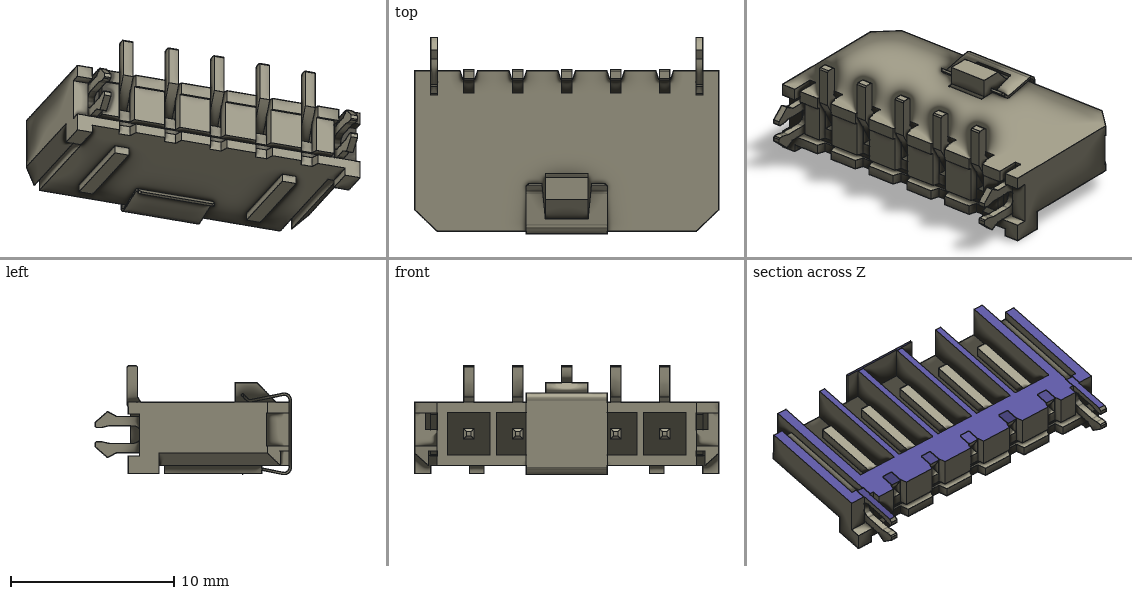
import cadquery as cq
import math


LENGTH = 18.65
DEPTH = 9.87
HEIGHT = 3.9
HALF_LENGTH = LENGTH / 2
MID_Z = HEIGHT / 2

CONTACT_COUNT = 5
PITCH = 3.0
CONTACT_X = [(i - (CONTACT_COUNT - 1) / 2) * PITCH for i in range(CONTACT_COUNT)]
SOCKET_SIDE = 2.6
SOCKET_DEPTH = 7.46

PIN_SIDE = 0.65
PIN_TIP_Y = 2.24
PIN_TIP_TAPER = 0.19
PIN_REAR_Y = 9.94
PIN_TOP_Z = 6.14
PIN_TOP_CHAMFER = 0.1
PIN_SLOPE = 1.72
PIN_REAR_BEND_Z = 3.73
PIN_FRONT_BEND_Z = 4.21
PIN_CHANNEL_FRONT_Y = 8.5
NOTCH_FRONT_Y = 9.32
NOTCH_REAR_WIDTH = 1.08
NOTCH_FRONT_WIDTH = 0.73

CORNER_X = 1.38
CORNER_Y = 1.32
POCKET_DEPTH = 1.38
POCKET_BOTTOM_Z = 1.2
POCKET_TOP_Z = 3.23
WINDOW_WIDTH = 0.73
WINDOW_BOTTOM_Z = 2.2
UNDERCUT_WIDTH = 0.55
UNDERCUT_HEIGHT = 0.9
LOWER_WINDOW_BOTTOM_Z = 0.62

STANDOFF = 0.48
FOOT_WIDTH = 0.99
FOOT_FRONT_Y = 7.96
BEVEL_WIDTH = 0.84
BEVEL_HEIGHT = 0.76
RIB_X = 5.52
RIB_WIDTH = 0.91
RIB_FRONT_Y = 1.66
RIB_REAR_Y = 7.65

GROOVE_FRONT_Y = 9.18
GROOVE_BOTTOM_Z = 0.6
GROOVE_TOP_Z = 3.15
REAR_WALL_Y = 9.74
REAR_WALL_BOTTOM_Z = 0.93
REAR_WALL_HALF_WIDTH = 7.65

LATCH_WIDTH = 2.6
LATCH_FOOT_Y = 0.8
LATCH_CREST_Y = 1.95
LATCH_REAR_Y = 3.3
LATCH_TOP_Z = 5.1
LATCH_RELIEF = 0.26
LATCH_TOE = 0.05

LOCK_X = 8.13
LOCK_THICKNESS = 0.43
LOCK_SLOT_FRONT_Y = 8.37
LOCK_FRONT_Y = 8.47
LOCK_REAR_Y = 11.9
LOCK_MID_Z = 1.9
LOCK_HALF_HEIGHT = 1.12
LOCK_GAP_RADIUS = 0.55
LOCK_GAP_CENTER_Y = 9.59
BARB_HEIGHT = 0.11
BARB_CREST_Y = 8.9
BARB_FOOT_Y = 9.0
HOOK_FOOT_Y = 10.57
HOOK_CREST_Y = 11.13
HOOK_CREST_HALF = 1.42
HOOK_TIP_OUTER_HALF = 0.75
HOOK_TIP_INNER_HALF = 0.43
HOOK_LIP_REAR_Y = 11.82
HOOK_LIP_FRONT_Y = 11.49
HOOK_INNER_FOOT_Y = 11.0

CLIP_WIDTH = 5.0
CLIP_THICKNESS = 0.15
CLIP_BEND_OUTER = 0.45
CLIP_BEND_Z = 4.01
CLIP_ARM_ANGLE = 11.5
CLIP_VALLEY_OUTER = 0.34
CLIP_KICK_ANGLE = 45.0
CLIP_KICK_LENGTH = 0.47
CLIP_CORNER_CHAMFER = 0.17
CLIP_SLOT_FRONT_Y = 0.75
CLIP_SLOT_FRONT_WIDTH = 2.63
CLIP_SLOT_REAR_WIDTH = 3.11

THROUGH = 3 * HEIGHT


def box(x0, x1, y0, y1, z0, z1):
    return cq.Workplane("XY").box(x1 - x0, y1 - y0, z1 - z0, centered=False).translate((x0, y0, z0))


def side_plate(points, width, x_center=0.0):
    """Plate of the given width along X, from an outline of (Y, Z) points."""
    plate = cq.Workplane("YZ").polyline(points).close().extrude(width / 2, both=True)
    return plate.translate((x_center, 0, 0))


def with_mirror(right):
    """A shape at +X together with its mirror image at -X."""
    return right.union(right.mirror("YZ"))



def pin_blank(x):
    """Bent bar before its tip and top are shaped; also the hole it fills in the housing."""
    bottom = MID_Z - PIN_SIDE / 2
    top = MID_Z + PIN_SIDE / 2
    front = PIN_REAR_Y - PIN_SIDE
    outline = [
        (PIN_TIP_Y, bottom),
        (PIN_REAR_Y - (PIN_REAR_BEND_Z - bottom) / PIN_SLOPE, bottom),
        (PIN_REAR_Y, PIN_REAR_BEND_Z),
        (PIN_REAR_Y, PIN_TOP_Z),
        (front, PIN_TOP_Z),
        (front, PIN_FRONT_BEND_Z),
        (front - (PIN_FRONT_BEND_Z - top) / PIN_SLOPE, top),
        (PIN_TIP_Y, top),
    ]
    return side_plate(outline, PIN_SIDE, x)


def make_pin(x):
    pin = pin_blank(x)
    pin = pin.faces("<Y").chamfer(PIN_TIP_TAPER)
    return pin.faces(">Z").edges("|X").chamfer(PIN_TOP_CHAMFER)



def make_lock(x):
    """Fork with barbs at its root and a hook on the end of each prong."""
    upper = [
        (LOCK_GAP_CENTER_Y, LOCK_GAP_RADIUS),
        (HOOK_INNER_FOOT_Y, LOCK_GAP_RADIUS),
        (HOOK_LIP_FRONT_Y, HOOK_TIP_INNER_HALF),
        (HOOK_LIP_REAR_Y, HOOK_TIP_INNER_HALF),
        (LOCK_REAR_Y, HOOK_TIP_INNER_HALF + LOCK_REAR_Y - HOOK_LIP_REAR_Y),
        (LOCK_REAR_Y, HOOK_TIP_OUTER_HALF),
        (HOOK_CREST_Y, HOOK_CREST_HALF),
        (HOOK_FOOT_Y, LOCK_HALF_HEIGHT),
        (BARB_FOOT_Y, LOCK_HALF_HEIGHT),
        (BARB_CREST_Y, LOCK_HALF_HEIGHT + BARB_HEIGHT),
        (LOCK_FRONT_Y, LOCK_HALF_HEIGHT + BARB_HEIGHT),
    ]
    lower = [(y, -z) for y, z in reversed(upper)]
    gap_bottom = (LOCK_GAP_CENTER_Y - LOCK_GAP_RADIUS, 0)
    lock = (
        cq.Workplane("YZ")
        .polyline(upper + lower)
        .threePointArc(gap_bottom, upper[0])
        .close()
        .extrude(LOCK_THICKNESS / 2, both=True)
    )
    return lock.translate((x, 0, LOCK_MID_Z))



def polar(center, radius, degrees):
    angle = math.radians(degrees)
    return (center[0] + radius * math.cos(angle), center[1] + radius * math.sin(angle))


def clip_half():
    """Upper half of the clip: front plate, bend, falling arm, valley and raised free end."""
    bend_inner = CLIP_BEND_OUTER - CLIP_THICKNESS
    valley_inner = CLIP_VALLEY_OUTER - CLIP_THICKNESS
    bend = (bend_inner, CLIP_BEND_Z)

    tilt = math.radians(CLIP_ARM_ANGLE)
    valley_z = HEIGHT + CLIP_VALLEY_OUTER
    normal_gap = CLIP_BEND_OUTER + valley_inner
    valley_y = bend[0] + (normal_gap - (valley_z - bend[1]) * math.cos(tilt)) / math.sin(tilt)
    valley = (valley_y, valley_z)

    bend_start = 180
    bend_end = 90 - CLIP_ARM_ANGLE
    bend_middle = (bend_start + bend_end) / 2
    valley_start = 270 - CLIP_ARM_ANGLE
    valley_end = 270 + CLIP_KICK_ANGLE
    valley_middle = (valley_start + valley_end) / 2
    tip_upper = polar(polar(valley, valley_inner, valley_end), CLIP_KICK_LENGTH, CLIP_KICK_ANGLE)
    tip_lower = polar(polar(valley, CLIP_VALLEY_OUTER, valley_end), CLIP_KICK_LENGTH, CLIP_KICK_ANGLE)

    half = (
        cq.Workplane("YZ")
        .moveTo(-CLIP_THICKNESS, MID_Z)
        .lineTo(*polar(bend, CLIP_BEND_OUTER, bend_start))
        .threePointArc(polar(bend, CLIP_BEND_OUTER, bend_middle), polar(bend, CLIP_BEND_OUTER, bend_end))
        .lineTo(*polar(valley, valley_inner, valley_start))
        .threePointArc(polar(valley, valley_inner, valley_middle), polar(valley, valley_inner, valley_end))
        .lineTo(*tip_upper)
        .lineTo(*tip_lower)
        .lineTo(*polar(valley, CLIP_VALLEY_OUTER, valley_end))
        .threePointArc(
            polar(valley, CLIP_VALLEY_OUTER, valley_middle), polar(valley, CLIP_VALLEY_OUTER, valley_start)
        )
        .lineTo(*polar(bend, bend_inner, bend_end))
        .threePointArc(polar(bend, bend_inner, bend_middle), polar(bend, bend_inner, bend_start))
        .lineTo(0, MID_Z)
        .close()
        .extrude(CLIP_WIDTH / 2, both=True)
    )

    side = CLIP_WIDTH / 2
    tip_y = tip_lower[0]
    corner = [(side, tip_y), (side - CLIP_CORNER_CHAMFER, tip_y), (side, tip_y - CLIP_CORNER_CHAMFER)]
    corner_cut = cq.Workplane("XY").polyline(corner).close().extrude(THROUGH)
    return half.cut(with_mirror(corner_cut))


def make_clip():
    upper = clip_half()
    lower = upper.mirror("XY", (0, 0, MID_Z))

    front_half = CLIP_SLOT_FRONT_WIDTH / 2
    rear_half = CLIP_SLOT_REAR_WIDTH / 2
    slot = (
        cq.Workplane("XY", origin=(0, 0, MID_Z))
        .polyline([
            (-front_half, CLIP_SLOT_FRONT_Y),
            (front_half, CLIP_SLOT_FRONT_Y),
            (rear_half, LATCH_REAR_Y),
            (-rear_half, LATCH_REAR_Y),
        ])
        .close()
        .extrude(THROUGH)
    )
    return upper.cut(slot).union(lower)



def housing_block():
    """Main block with chamfered front corners and bevelled lower side edges."""
    block = (
        cq.Workplane("XY")
        .polyline([
            (-HALF_LENGTH, CORNER_Y),
            (-HALF_LENGTH + CORNER_X, 0),
            (HALF_LENGTH - CORNER_X, 0),
            (HALF_LENGTH, CORNER_Y),
            (HALF_LENGTH, DEPTH),
            (-HALF_LENGTH, DEPTH),
        ])
        .close()
        .extrude(HEIGHT)
    )
    bevel = (
        cq.Workplane("XZ")
        .polyline([(HALF_LENGTH, 0), (HALF_LENGTH, BEVEL_HEIGHT), (HALF_LENGTH - BEVEL_WIDTH, 0)])
        .close()
        .extrude(-FOOT_FRONT_Y)
    )
    return block.cut(with_mirror(bevel))


def standoffs():
    """Rear feet and the two ribs under the floor."""
    foot = box(HALF_LENGTH - FOOT_WIDTH, HALF_LENGTH, FOOT_FRONT_Y, DEPTH, -STANDOFF, GROOVE_BOTTOM_Z)
    rib = box(RIB_X - RIB_WIDTH / 2, RIB_X + RIB_WIDTH / 2, RIB_FRONT_Y, RIB_REAR_Y, -STANDOFF, 0)
    return with_mirror(foot).union(with_mirror(rib))


def latch():
    return side_plate(
        [
            (LATCH_FOOT_Y, HEIGHT),
            (LATCH_CREST_Y, LATCH_TOP_Z),
            (LATCH_REAR_Y, LATCH_TOP_Z),
            (LATCH_REAR_Y, HEIGHT + LATCH_TOE),
            (LATCH_REAR_Y + LATCH_TOE, HEIGHT),
        ],
        LATCH_WIDTH,
    )


def latch_relief():
    """Groove behind the latch whose floor continues the 45 degree slope at the latch toe."""
    rear = LATCH_REAR_Y + LATCH_RELIEF
    bottom = HEIGHT + LATCH_TOE - LATCH_RELIEF
    return side_plate([(LATCH_REAR_Y + LATCH_TOE, HEIGHT), (rear, HEIGHT), (rear, bottom)], LATCH_WIDTH)


def rear_groove():
    groove = box(-HALF_LENGTH, HALF_LENGTH, GROOVE_FRONT_Y, DEPTH, GROOVE_BOTTOM_Z, GROOVE_TOP_Z)
    wall = box(
        -REAR_WALL_HALF_WIDTH, REAR_WALL_HALF_WIDTH,
        GROOVE_FRONT_Y, REAR_WALL_Y,
        REAR_WALL_BOTTOM_Z, GROOVE_TOP_Z,
    )
    return groove.cut(wall)


def corner_openings():
    """Corner pockets, undercuts running back to the feet, and windows that reach the lock slots."""
    inner = HALF_LENGTH - CORNER_X
    pocket = box(inner, HALF_LENGTH, 0, POCKET_DEPTH, POCKET_BOTTOM_Z, POCKET_TOP_Z)
    window = box(inner, inner + WINDOW_WIDTH, 0, LOCK_SLOT_FRONT_Y, WINDOW_BOTTOM_Z, POCKET_TOP_Z)
    undercut = box(inner, inner + UNDERCUT_WIDTH, 0, FOOT_FRONT_Y, 0, UNDERCUT_HEIGHT)
    lower_window = box(
        inner, inner + UNDERCUT_WIDTH,
        0, LOCK_SLOT_FRONT_Y,
        LOWER_WINDOW_BOTTOM_Z, UNDERCUT_HEIGHT,
    )
    return with_mirror(pocket.union(window).union(undercut).union(lower_window))


def lock_slots():
    half = LOCK_THICKNESS / 2
    return with_mirror(box(LOCK_X - half, LOCK_X + half, LOCK_SLOT_FRONT_Y, DEPTH, GROOVE_BOTTOM_Z, HEIGHT))


def contact_opening(x):
    """Socket, pin hole, open channel over the sloped leg and flared rear notch of one contact."""
    half_socket = SOCKET_SIDE / 2
    half_pin = PIN_SIDE / 2
    socket = box(x - half_socket, x + half_socket, 0, SOCKET_DEPTH, MID_Z - half_socket, MID_Z + half_socket)
    channel = box(x - half_pin, x + half_pin, PIN_CHANNEL_FRONT_Y, DEPTH, MID_Z - half_pin, HEIGHT)
    notch = (
        cq.Workplane("XY")
        .polyline([
            (x - NOTCH_FRONT_WIDTH / 2, NOTCH_FRONT_Y),
            (x + NOTCH_FRONT_WIDTH / 2, NOTCH_FRONT_Y),
            (x + NOTCH_REAR_WIDTH / 2, DEPTH),
            (x - NOTCH_REAR_WIDTH / 2, DEPTH),
        ])
        .close()
        .extrude(HEIGHT)
    )
    return socket.union(channel).union(notch).union(pin_blank(x))


def make_housing():
    housing = housing_block().cut(rear_groove())
    housing = housing.union(standoffs()).union(latch())
    housing = housing.cut(latch_relief()).cut(corner_openings()).cut(lock_slots())
    for x in CONTACT_X:
        housing = housing.cut(contact_opening(x))
    return housing



housing = make_housing()
pins = [make_pin(x).val() for x in CONTACT_X]
locks = [make_lock(side * LOCK_X).val() for side in (-1, 1)]
clip = make_clip()

result = cq.Compound.makeCompound([housing.val(), *pins, *locks, clip.val()])